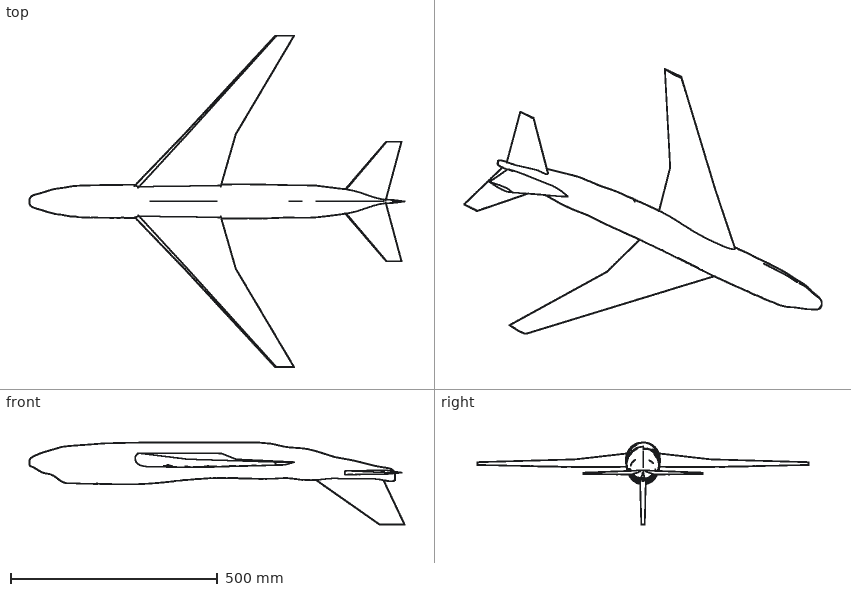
import cadquery as cq


FUSELAGE_SECTIONS = [
    (0, 3, -3, 3),
    (6, 12, -11, 13),
    (22, 20, -20, 19),
    (39, 26, -27, 24),
    (55, 31, -31, 29),
    (72, 36, -42.5, 32),
    (89, 39, -51, 34.5),
    (121, 42, -52, 38.5),
    (180, 46, -53, 40),
    (255, 48, -53.5, 40.7),
    (330, 48.4, -48.5, 41.2),
    (408, 48.4, -41, 41.5),
    (515, 48.6, -39.5, 41.7),
    (580, 46, -40.5, 41.2),
    (640, 35.5, -40.5, 39.5),
    (720, 18.5, -40.5, 36),
    (770, 7, -40.5, 29),
    (820, -4, -40.5, 15),
    (850, -11, -42, 6.5),
    (875, -16, -46.5, 4.2),
    (885, -25, -43, 2.5),
]

WING_HALF_SPAN = 401
WING_ROOT = (0, 218, 453, 26)
WING_KINK = (163, 375, 500, 7.4)
WING_TIP = (WING_HALF_SPAN, 595, 641, 0.5)
WING_THICKNESS_RATIO = 0.158

TAIL_ROOT = (0, 739, 862, -19.3)
TAIL_TIP = (145, 864, 901, -25)
TAIL_THICKNESS_RATIO = 0.065

FLAT_START_RATIO = 0.4
NOSE_DEPTH_RATIO = 0.45
DEEPEST_POINT = 0.3

FIN_ROOT = (-32, 678, 852, 15.5)
FIN_TIP = (-150.92, 847.6, 908.4, 9)


def ellipse_wire(x, top, bottom, half_width):
    """Upright ellipse across the fuselage at station x."""
    plane = cq.Plane(origin=(x, 0, (top + bottom) / 2), xDir=(0, 1, 0), normal=(1, 0, 0))
    half_height = (top - bottom) / 2
    return cq.Workplane(plane).ellipse(half_width, half_height).val()


def flat_aerofoil_wire(section, thickness_ratio):
    """Aerofoil with a flat upper face, a round nose and a bowed lower face."""
    y, leading_x, trailing_x, flat_z = section
    chord = trailing_x - leading_x
    thickness = thickness_ratio * chord
    flat_start = (FLAT_START_RATIO * thickness, 0)
    nose = (0, -NOSE_DEPTH_RATIO * thickness)
    deepest = (DEEPEST_POINT * chord, -thickness)
    trailing_edge = (chord, 0)
    plane = cq.Plane(origin=(leading_x, y, flat_z), xDir=(1, 0, 0), normal=(0, -1, 0))
    outline = (
        cq.Workplane(plane)
        .moveTo(*trailing_edge)
        .lineTo(*flat_start)
        .spline(
            [nose, deepest, trailing_edge],
            tangents=[(-1, -0.3), (0, -1), (1, 0), (chord, 2 * thickness)],
            includeCurrent=True,
        )
        .close()
    )
    return outline.val()


def mirrored(section):
    """The same section on the other side of the centre plane."""
    y, *rest = section
    return (-y, *rest)


def lifting_surface(half_sections, thickness_ratio):
    """Tip-to-tip surface through the root-to-tip sections and their mirror images."""
    outer = half_sections[1:]
    sections = [mirrored(s) for s in reversed(outer)] + half_sections
    wires = [flat_aerofoil_wire(s, thickness_ratio) for s in sections]
    return cq.Workplane(cq.Solid.makeLoft(wires, True))


def fin_wire(z, leading_x, trailing_x, thickness):
    """Symmetric aerofoil with a round nose and a sharp trailing edge."""
    chord = trailing_x - leading_x
    half = thickness / 2
    thickest_x = DEEPEST_POINT * chord
    outline = (
        cq.Workplane(cq.Plane(origin=(leading_x, 0, z)))
        .moveTo(chord, 0)
        .spline(
            [(thickest_x, half), (0, 0), (thickest_x, -half), (chord, 0)],
            tangents=[(-chord, thickness), (-1, 0), (0, -1), (1, 0), (chord, thickness)],
            includeCurrent=True,
        )
        .close()
    )
    return outline.val()


wing = lifting_surface([WING_ROOT, WING_KINK, WING_TIP], WING_THICKNESS_RATIO)
tailplane = lifting_surface([TAIL_ROOT, TAIL_TIP], TAIL_THICKNESS_RATIO)

hull = cq.Workplane(cq.Solid.makeLoft([ellipse_wire(*s) for s in FUSELAGE_SECTIONS]))
fin = cq.Workplane(cq.Solid.makeLoft([fin_wire(*FIN_ROOT), fin_wire(*FIN_TIP)], True))
fuselage = hull.union(fin).cut(wing).cut(tailplane).solids()

result = cq.Compound.makeCompound([*fuselage.vals(), wing.val(), tailplane.val()])